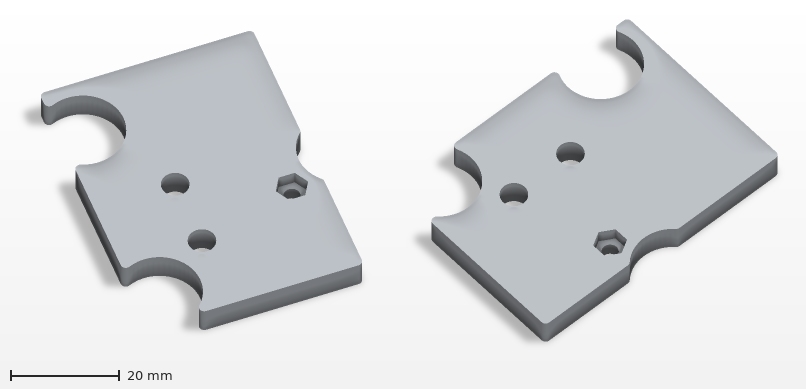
import cadquery as cq
import math

length = 58.0
width = 42.0
thickness = 5.7
corner_radius = 1.0

clearance_radius = 8.0
lower_clearance_y = 4.5
left_clearance_x = 10.75
clearance_spacing = 40.0
right_clearance_x = left_clearance_x + clearance_spacing
upper_clearance_x = 31.15
upper_clearance_depth = 2.65
upper_clearance_y = width - upper_clearance_depth + clearance_radius

hole_diameter = 5.3
hole_spacing = 14.0
first_hole_x = 28.5
hole_y = 16.0
hole_centers = [(first_hole_x, hole_y), (first_hole_x + hole_spacing, hole_y)]

nut_center = (36.55, 35.95)
nut_across_flats = 5.5
nut_across_corners = nut_across_flats / math.cos(math.radians(30))
nut_pocket_depth = thickness / 2
screw_diameter = 3.2


def make_clearance(x, y, open_angle):
    """Cylinder whose seam line is turned to the open side, clear of the plate walls."""
    cylinder = cq.Workplane("XY").circle(clearance_radius).extrude(thickness)
    return cylinder.rotate((0, 0, 0), (0, 0, 1), open_angle).translate((x, y, 0))


def make_open_corner():
    """Block that opens the right clearance through the lower right plate corner."""
    return (
        cq.Workplane("XY")
        .box(length - right_clearance_x, lower_clearance_y, thickness, centered=False)
        .translate((right_clearance_x, 0, 0))
    )


def make_plate():
    """Plate with edge clearances and all upright corners rounded."""
    plate = (
        cq.Workplane("XY")
        .box(length, width, thickness, centered=False)
        .cut(make_clearance(left_clearance_x, lower_clearance_y, -90))
        .cut(make_clearance(right_clearance_x, lower_clearance_y, -90))
        .cut(make_clearance(upper_clearance_x, upper_clearance_y, 90))
        .cut(make_open_corner())
    )
    return plate.edges("|Z").fillet(corner_radius)


def make_through_holes(centers, diameter):
    return cq.Workplane("XY").pushPoints(centers).circle(diameter / 2).extrude(thickness)


def make_nut_pocket():
    """Hexagon with two corners pointing along Y."""
    return (
        cq.Workplane("XY", origin=(*nut_center, thickness - nut_pocket_depth))
        .transformed(rotate=(0, 0, 90))
        .polygon(6, nut_across_corners)
        .extrude(nut_pocket_depth)
    )


result = (
    make_plate()
    .cut(make_through_holes(hole_centers, hole_diameter))
    .cut(make_through_holes([nut_center], screw_diameter))
    .cut(make_nut_pocket())
)